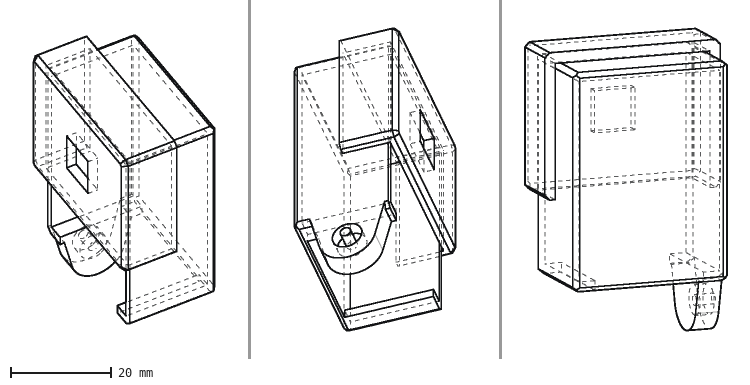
import cadquery as cq
import math


cap_width = 37.4
cap_depth = 12.2
cap_top = 58.9
cap_height = 30.0
cap_bottom = cap_top - cap_height
cap_chamfer = 1.0
cap_front_wall = 2.2
window_side = 8.6

housing_width = 33.0
housing_front = 2.6
housing_back = 22.7
housing_bottom = 11.9
housing_top = 56.6
side_wall = 1.5
back_wall = side_wall
floor_wall = 1.95
housing_chamfer = 1.0
housing_chamfer_x = 1.2
housing_left = -housing_width / 2
housing_depth = housing_back - housing_front
housing_height = housing_top - housing_bottom

ear_thickness = 4.95
ear_radius = 6.0
ear_taper = math.radians(14)
ear_y = 11.25
ear_z = ear_radius
ear_top = housing_bottom + housing_chamfer
pocket_diameter = 6.2
pocket_depth = 3.0
pin_diameter = 2.2
pin_protrusion = 1.05

floor_opening_width = housing_width - 2 * ear_thickness


def block(width, y_range, z_range):
    """Box centred on X, between two Y and two Z positions."""
    y_start, y_end = y_range
    z_start, z_end = z_range
    return (
        cq.Workplane("XY")
        .box(width, y_end - y_start, z_end - z_start, centered=(True, False, False))
        .translate((0, y_start, z_start))
    )


def x_cylinder(diameter, x_start, length):
    """Cylinder along +X on the hinge axis."""
    return (
        cq.Workplane("YZ", origin=(x_start, ear_y, ear_z))
        .circle(diameter / 2)
        .extrude(length)
    )


def make_cap():
    """Chamfered cover, open at the back and below, with a square window."""
    shell = block(cap_width, (0, cap_depth), (cap_bottom, cap_top))
    shell = shell.edges("|Y").chamfer(cap_chamfer)
    shell = shell.faces("<Y").edges().chamfer(cap_chamfer)
    cavity = block(housing_width, (cap_front_wall, cap_depth), (cap_bottom, housing_top))
    window_middle = (cap_bottom + cap_top) / 2
    window = block(
        window_side,
        (0, cap_front_wall),
        (window_middle - window_side / 2, window_middle + window_side / 2),
    )
    return shell.cut(cavity).cut(window)


def beveled_profile(plane, width, height, bevel_x, bevel_y, depth):
    """Prism centred on its plane, with all four corners of its section cut off."""
    half_x = width / 2
    half_y = height / 2
    corners = [
        (half_x, half_y - bevel_y),
        (half_x - bevel_x, half_y),
        (bevel_x - half_x, half_y),
        (-half_x, half_y - bevel_y),
        (-half_x, bevel_y - half_y),
        (bevel_x - half_x, -half_y),
        (half_x - bevel_x, -half_y),
        (half_x, bevel_y - half_y),
    ]
    return cq.Workplane(plane).polyline(corners).close().extrude(depth / 2, both=True)


def make_case():
    """Hollow box, open at the front, beveled everywhere but around its front face."""
    double_depth = 2 * housing_depth
    end_bevels = beveled_profile(
        "XZ", housing_width, housing_height, housing_chamfer_x, housing_chamfer, double_depth
    )
    side_bevels = beveled_profile(
        "XY", housing_width, double_depth, housing_chamfer_x, housing_chamfer, housing_height
    )
    back_bevels = beveled_profile(
        "YZ", double_depth, housing_height, housing_chamfer, housing_chamfer, housing_width
    )
    middle_z = (housing_bottom + housing_top) / 2
    bevels = end_bevels.intersect(side_bevels).intersect(back_bevels)
    bevels = bevels.translate((0, housing_front, middle_z))
    outside = block(
        housing_width, (housing_front, housing_back), (housing_bottom, housing_top)
    ).intersect(bevels)

    inside_y = (housing_front, housing_back - back_wall)
    cavity = block(
        housing_width - 2 * side_wall,
        inside_y,
        (housing_bottom + floor_wall, housing_top - floor_wall),
    )
    floor_opening = block(
        floor_opening_width, inside_y, (housing_bottom, housing_bottom + floor_wall)
    )
    return outside.cut(cavity).cut(floor_opening)


def make_ear():
    """Tapered hinge ear whose flanks run tangent into a round end."""
    tangent_y = ear_radius * math.cos(ear_taper)
    tangent_z = ear_z - ear_radius * math.sin(ear_taper)
    top_half_width = (
        ear_radius + (ear_top - ear_z) * math.sin(ear_taper)
    ) / math.cos(ear_taper)
    return (
        cq.Workplane("YZ", origin=(housing_left, 0, 0))
        .moveTo(ear_y - top_half_width, ear_top)
        .lineTo(ear_y - tangent_y, tangent_z)
        .threePointArc((ear_y, ear_z - ear_radius), (ear_y + tangent_y, tangent_z))
        .lineTo(ear_y + top_half_width, ear_top)
        .close()
        .extrude(ear_thickness)
    )


def make_housing():
    """Case with its hinge ear, and a pin standing in a round pocket of the ear."""
    pocket = x_cylinder(pocket_diameter, housing_left, pocket_depth)
    pin = x_cylinder(pin_diameter, housing_left - pin_protrusion, pin_protrusion + ear_thickness)
    return make_case().union(make_ear()).cut(pocket).union(pin)


cap = make_cap().solids()
housing = make_housing().solids()

result = cq.Compound.makeCompound([cap.val(), housing.val()])